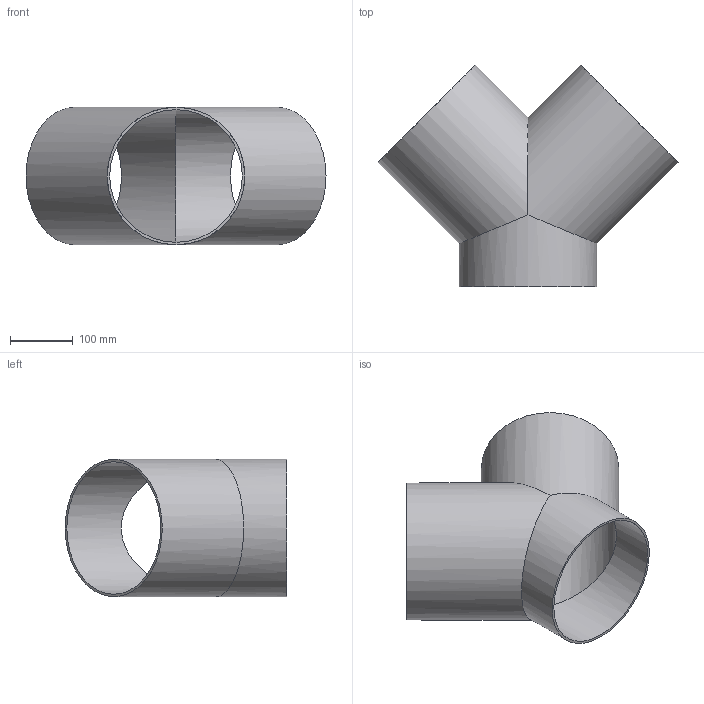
import cadquery as cq
import math

outer_diameter = 219.075
inner_diameter = 211.56
inlet_length = 114.3
branch_length = 228.6
branch_angle = 45

branch_x = math.sin(math.radians(branch_angle))
branch_y = math.cos(math.radians(branch_angle))

junction = cq.Vector(0, 0, 0)

legs = [
    (inlet_length, cq.Vector(0, -1, 0)),
    (branch_length, cq.Vector(branch_x, branch_y, 0)),
    (branch_length, cq.Vector(-branch_x, branch_y, 0)),
]


def joined_cylinders(diameter):
    """Union of one cylinder per leg, each running from the junction to its open end."""
    inlet, *branches = [
        cq.Solid.makeCylinder(diameter / 2, length, junction, direction)
        for length, direction in legs
    ]
    return cq.Workplane(inlet.fuse(*branches))


result = joined_cylinders(outer_diameter).cut(joined_cylinders(inner_diameter))